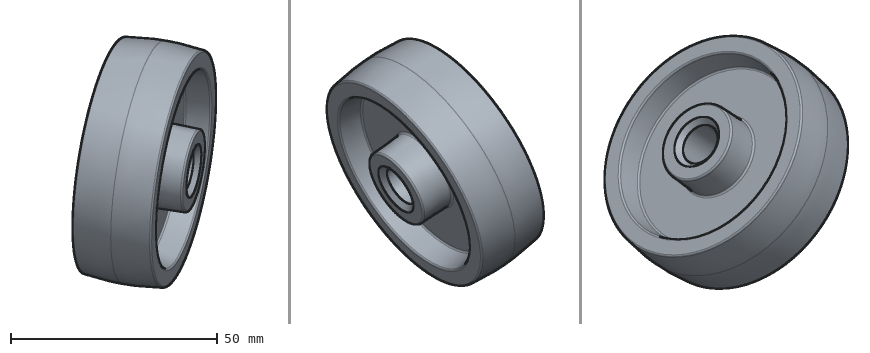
import cadquery as cq

wheel_radius = 30.0
hub_width = 25.0
rim_width = 20.0
web_width = 7.0

crown_drop = 0.8

recess_mouth_radius = 24.6
recess_floor_radius = 23.5
hub_end_radius = 10.25
hub_root_radius = 10.5

bore_radius = 5.1
bore_mouth_radius = 6.6
bore_chamfer_depth = 1.5

edge_fillet = 0.5

half_hub = hub_width / 2
half_rim = rim_width / 2
half_web = web_width / 2
rim_edge_radius = wheel_radius - crown_drop


def side_profile(workplane, side):
    """Draw from the bore to the tread along one side face; side is -1 or +1."""
    return (
        workplane
        .lineTo(side * (half_hub - bore_chamfer_depth), bore_radius)
        .lineTo(side * half_hub, bore_mouth_radius)
        .lineTo(side * half_hub, hub_end_radius)
        .lineTo(side * half_web, hub_root_radius)
        .lineTo(side * half_web, recess_floor_radius)
        .lineTo(side * half_rim, recess_mouth_radius)
        .lineTo(side * half_rim, rim_edge_radius)
    )


def half_wheel(side):
    """Revolve the half of the wheel on one side of the middle plane."""
    crown_arc_radius = (half_rim**2 + crown_drop**2) / (2 * crown_drop)
    arc_center = wheel_radius - crown_arc_radius
    arc_mid_x = half_rim / 2
    arc_mid_radius = arc_center + (crown_arc_radius**2 - arc_mid_x**2) ** 0.5

    profile = side_profile(cq.Workplane("XZ").moveTo(0, bore_radius), side)
    profile = profile.threePointArc((side * arc_mid_x, arc_mid_radius), (0, wheel_radius)).close()
    return profile.revolve(360, (0, 0, 0), (1, 0, 0))


def circle_edges(body, side, half_width, radius):
    """Select the circular edge at the given axial position and radius."""
    tolerance = 0.005
    return body.edges("%CIRCLE").filter(
        lambda edge: abs(edge.Center().x - side * half_width) < tolerance
        and abs(edge.radius() - radius) < tolerance
    )


rounded_circles = [
    (half_hub, hub_end_radius),
    (half_web, hub_root_radius),
    (half_web, recess_floor_radius),
    (half_rim, recess_mouth_radius),
    (half_rim, rim_edge_radius),
]

result = half_wheel(-1).union(half_wheel(1))
for side in (-1, 1):
    for half_width, radius in rounded_circles:
        result = circle_edges(result, side, half_width, radius).fillet(edge_fillet)